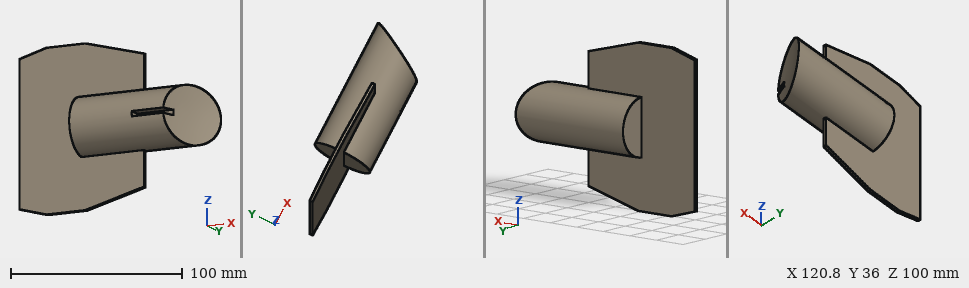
import cadquery as cq
import math

plate_length = 80.0
plate_height = 100.0
plate_thickness = 2.0
rear_corner_length = 17.5
rear_corner_drop = 5.0
front_taper_length = 37.5
front_taper_drop = 10.0

bar_diameter = 36.0
bar_start = plate_length / 2
bar_short_side = 60.4
bar_long_side = 80.78
dish_radius = 125.0

slot_width = 3.2
slot_depth = 7.5
slot_start = 80.2

bar_radius = bar_diameter / 2
bar_short_end = bar_start + bar_short_side
bar_long_end = bar_start + bar_long_side


def make_plate():
    """Plate with tapered top and bottom edges, centred on the XZ plane."""
    half_height = plate_height / 2
    upper_edge = [
        (0, half_height - rear_corner_drop),
        (rear_corner_length, half_height),
        (plate_length - front_taper_length, half_height),
        (plate_length, half_height - front_taper_drop),
    ]
    lower_edge = [(x, -z) for x, z in reversed(upper_edge)]
    outline = cq.Workplane("XZ").polyline(upper_edge + lower_edge).close()
    return outline.extrude(plate_thickness / 2, both=True)


def make_dish():
    """Ball centred in the XY plane whose surface meets both the short and the long side of the bar."""
    chord_x = bar_long_end - bar_short_end
    chord = math.hypot(chord_x, bar_diameter)
    distance = math.sqrt(dish_radius**2 - (chord / 2) ** 2)
    centre_x = (bar_short_end + bar_long_end) / 2 + distance * bar_diameter / chord
    centre_y = -distance * chord_x / chord
    return cq.Workplane("XY").sphere(dish_radius).translate((centre_x, centre_y, 0))


def make_bar():
    """Cylinder hollowed at its far end, longer on +Y than on -Y."""
    cylinder = (
        cq.Workplane("YZ")
        .workplane(offset=bar_start)
        .circle(bar_radius)
        .extrude(bar_long_side)
    )
    return cylinder.cut(make_dish())


def make_slot():
    """Flat-bottomed cutter for the key slot."""
    return cq.Workplane("XY").box(
        bar_long_end - slot_start, slot_depth, slot_width, centered=(False, False, True)
    ).translate((slot_start, -bar_radius, 0))


result = make_plate().union(make_bar()).cut(make_slot())